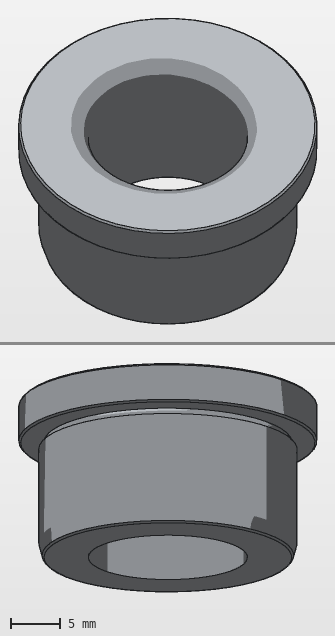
import cadquery as cq
import math

total_height = 16.0
bore_radius = 16.0 / 2
body_radius = 26.0 / 2
flange_radius = 30.0 / 2
flange_thickness = 4.0
edge_break = 0.2
bore_entry_radius = 2.0
lead_in_height = 1.5
lead_in_angle = math.radians(15)

relief_depth = 0.5
relief_arc_radius = 0.5
relief_angle = math.radians(45)

flange_bottom = total_height - flange_thickness
lead_in_radius = body_radius - (lead_in_height - edge_break) * math.tan(lead_in_angle)
neck_radius = body_radius - relief_depth
relief_cone_top_radius = neck_radius + relief_arc_radius * (1 - math.cos(relief_angle))
relief_cone_top = flange_bottom - relief_arc_radius * math.sin(relief_angle)
relief_cone_height = (body_radius - relief_cone_top_radius) / math.tan(relief_angle)
relief_cone_bottom = relief_cone_top - relief_cone_height


def make_profile():
    """Half section in the XZ plane; local x is the radius, local y the height."""
    return (
        cq.Workplane("XZ")
        .moveTo(bore_radius, 0)
        .lineTo(lead_in_radius - edge_break, 0)
        .lineTo(lead_in_radius, edge_break)
        .lineTo(body_radius, lead_in_height)
        .lineTo(body_radius, relief_cone_bottom)
        .lineTo(relief_cone_top_radius, relief_cone_top)
        .tangentArcPoint((neck_radius, flange_bottom), relative=False)
        .lineTo(flange_radius - edge_break, flange_bottom)
        .lineTo(flange_radius, flange_bottom + edge_break)
        .lineTo(flange_radius, total_height - edge_break)
        .lineTo(flange_radius - edge_break, total_height)
        .lineTo(bore_radius + bore_entry_radius, total_height)
        .radiusArc((bore_radius, total_height - bore_entry_radius), -bore_entry_radius)
        .close()
    )


result = make_profile().revolve(360, (0, 0, 0), (0, 1, 0))